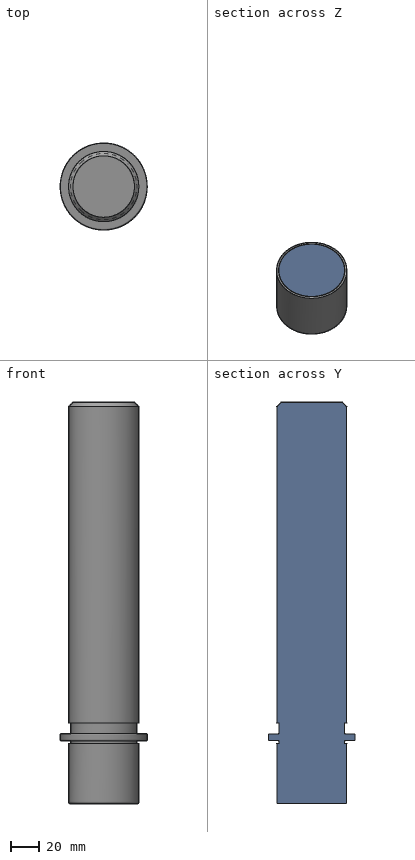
import cadquery as cq

length = 285.0
body_diameter = 50.0
top_chamfer = 3.0
bottom_fillet = 1.5

neck_diameter = 47.0
neck_bottom = 43.0
neck_top = 57.3

flange_diameter = 61.8
flange_bottom = 44.7
flange_thickness = 5.0
flange_fillet = 0.9


def cylinder(diameter, bottom, height):
    """Solid cylinder on the Z axis."""
    return cq.Workplane("XY").workplane(offset=bottom).circle(diameter / 2).extrude(height)


lower_body = cylinder(body_diameter, 0, neck_bottom).faces("<Z").edges().fillet(bottom_fillet)

neck = cylinder(neck_diameter, neck_bottom, neck_top - neck_bottom)

upper_body = cylinder(body_diameter, neck_top, length - neck_top)
upper_body = upper_body.faces(">Z").edges().chamfer(top_chamfer)

flange = cylinder(flange_diameter, flange_bottom, flange_thickness)
flange = flange.faces("<Z or >Z").edges().fillet(flange_fillet)

result = lower_body.union(neck).union(upper_body).union(flange)